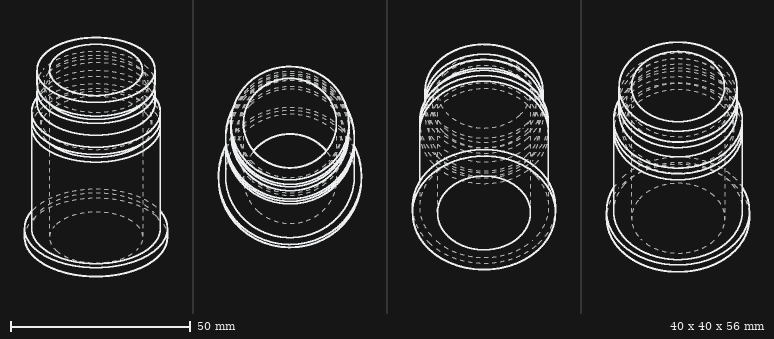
import cadquery as cq

total_height = 56.0
bore_diameter = 26.0

flange_diameter = 40.0
flange_height = 3.0
body_diameter = 36.0
body_top = 37.0

lower_groove_diameter = 31.0
lower_groove_width = 2.6
land_height = 2.4
cone_height = 3.0

neck_diameter = 33.0
upper_groove_diameter = 29.0
upper_groove_width = 2.4
rim_height = 4.6

land_bottom = body_top + lower_groove_width
cone_bottom = land_bottom + land_height
cone_top = cone_bottom + cone_height
upper_groove_top = total_height - rim_height
upper_groove_bottom = upper_groove_top - upper_groove_width


def cylinder(diameter, bottom, top):
    """Upright cylinder on the Z axis between two heights."""
    return cq.Workplane("XY").workplane(offset=bottom).circle(diameter / 2).extrude(top - bottom)


def ring_groove(outer_diameter, floor_diameter, bottom, top):
    """Ring of material to cut away, leaving the floor diameter."""
    return cylinder(outer_diameter, bottom, top).cut(cylinder(floor_diameter, bottom, top))


flange = cylinder(flange_diameter, 0, flange_height)
barrel = cylinder(body_diameter, 0, cone_bottom)
cone = (
    cq.Workplane("XY")
    .workplane(offset=cone_bottom)
    .circle(body_diameter / 2)
    .workplane(offset=cone_height)
    .circle(neck_diameter / 2)
    .loft(ruled=True)
)
neck = cylinder(neck_diameter, cone_top, total_height)
sleeve = flange.union(barrel).union(cone).union(neck)

sleeve = sleeve.cut(ring_groove(body_diameter, lower_groove_diameter, body_top, land_bottom))
sleeve = sleeve.cut(
    ring_groove(neck_diameter, upper_groove_diameter, upper_groove_bottom, upper_groove_top)
)

result = sleeve.cut(cylinder(bore_diameter, 0, total_height))